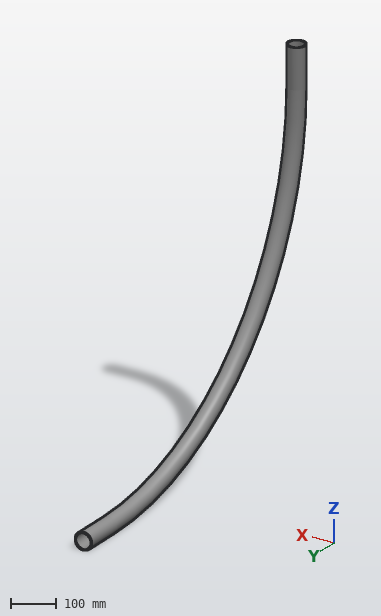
import cadquery as cq
import math

overall_size = 886.0
outer_diameter = 44.0
inner_diameter = 38.0
straight_length = 102.0

bend_radius = overall_size - straight_length - outer_diameter / 2


def centreline():
    """Vertical leg down, quarter bend, then horizontal leg along +Y."""
    mid_y = bend_radius * (1 - math.cos(math.pi / 4))
    mid_z = -bend_radius * math.sin(math.pi / 4)
    return (
        cq.Workplane("YZ")
        .moveTo(0, straight_length)
        .lineTo(0, 0)
        .threePointArc((mid_y, mid_z), (bend_radius, -bend_radius))
        .lineTo(bend_radius + straight_length, -bend_radius)
    )


def tube():
    """Hollow round section swept along the centreline, open at both ends."""
    section = (
        cq.Workplane("XY", origin=(0, 0, straight_length))
        .circle(outer_diameter / 2)
        .circle(inner_diameter / 2)
    )
    return section.sweep(centreline())


result = tube()